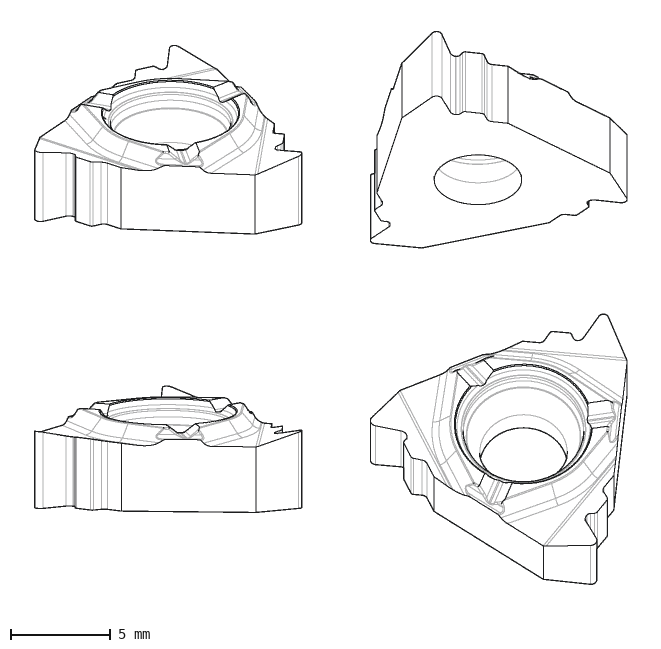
import cadquery as cq
import math

ARM_COUNT = 3
ARM_ANGLE = 360 / ARM_COUNT
HEIGHT = 4.2
SIDE_LEAN = 60.0
SIDE_DISTANCE = 4.77
REACH = 9.39

FLANK_ANGLE = 30.0
HEEL_Y = -4.65
TOOTH_X = -3.38
TOOTH_APEX_Y = -7.2
TIP_RADIUS = 0.3
ROOT_Y = -5.46
ROOT_RADIUS = 0.35
ROOT_END_X = -2.02
ROOT_END_RADIUS = 0.21
CREST_Y = -5.8
CREST_END_X = -0.8
CREST_RADIUS = 0.16
SHOULDER_Y = -5.19
SHOULDER_RADIUS = 0.31

FLOOR_Z = 3.37
RAKE_ANGLE = 15.0
VALLEY_DISTANCE = 4.72
VALLEY_RADIUS = 0.54

RIM_RADIUS = 3.69
RIM_EDGE_RADIUS = 0.08
WALL_ANGLE = 50.0
COVE_RADIUS = 0.45
RIM_ARC_START = -2.0
RIM_ARC_END = 30.0
CORNER_ANGLE = 315.0

STEP_FOOT_DISTANCE = 4.45
STEP_Z = 3.7
STEP_WALL_ANGLE = 70.0
STEP_COVE_RADIUS = 0.27
STEP_END_RADIUS = 0.11

NOTCH_Z = 3.73
NOTCH_FLOOR_WIDTH = 0.3
NOTCH_TOP_WIDTH = 1.49
NOTCH_OFFSET = -0.07
NOTCH_COVE_RADIUS = 0.32

HOLE_RADIUS = 2.2
SEAT_FOOT_Z = 2.25
SEAT_RADIUS = 2.23
SEAT_ANGLE = 45.0
COLLAR_RADIUS = 3.03
COLLAR_COVE_RADIUS = 0.51
LIP_RADIUS = 0.08
LEDGE_Z = 3.7
LEDGE_RADIUS = 3.3
LEDGE_COVE_RADIUS = 0.21
MOUTH_RADIUS = 3.47
MOUTH_BEVEL = 0.05


def sin(degrees):
    return math.sin(math.radians(degrees))


def cos(degrees):
    return math.cos(math.radians(degrees))


def tan(degrees):
    return math.tan(math.radians(degrees))


def turn_point(point, degrees):
    x, y = point
    return (x * cos(degrees) - y * sin(degrees), x * sin(degrees) + y * cos(degrees))


def turned(solid, degrees):
    return solid.rotate((0, 0, 0), (0, 0, 1), degrees)


def around_axis(solid):
    """Union of the copies of a solid on every arm."""
    copies = solid
    for arm in range(1, ARM_COUNT):
        copies = copies.union(turned(solid, arm * ARM_ANGLE))
    return copies


def rounded_loop(corners, plane="XY"):
    """Closed outline through (point, radius) corners, with a tangent arc at each non-zero radius."""
    points = [cq.Vector(*point) for point, _ in corners]
    stretches = []
    for index, (_, radius) in enumerate(corners):
        corner = points[index]
        back = (points[index - 1] - corner).normalized()
        ahead = (points[(index + 1) % len(points)] - corner).normalized()
        half_angle = back.getAngle(ahead) / 2
        setback = radius / math.tan(half_angle)
        bisector = (back + ahead).normalized()
        middle = corner + bisector * (radius / math.sin(half_angle) - radius)
        stretches.append((corner + back * setback, middle, corner + ahead * setback, radius))
    outline = cq.Workplane(plane).moveTo(*stretches[0][2].toTuple()[:2])
    for start, middle, end, radius in stretches[1:] + stretches[:1]:
        outline = outline.lineTo(*start.toTuple()[:2])
        if radius:
            outline = outline.threePointArc(middle.toTuple()[:2], end.toTuple()[:2])
    return outline.wire()


def arm_corners():
    flank = tan(FLANK_ANGLE)
    shoulder_end_x = (SIDE_DISTANCE + SHOULDER_Y * sin(SIDE_LEAN)) / cos(SIDE_LEAN)
    return [
        ((-SIDE_DISTANCE, HEEL_Y), 0),
        ((TOOTH_X, TOOTH_APEX_Y), TIP_RADIUS),
        ((TOOTH_X + (ROOT_Y - TOOTH_APEX_Y) * flank, ROOT_Y), ROOT_RADIUS),
        ((ROOT_END_X, ROOT_Y), ROOT_END_RADIUS),
        ((ROOT_END_X + (ROOT_Y - CREST_Y) * flank, CREST_Y), CREST_RADIUS),
        ((CREST_END_X, CREST_Y), CREST_RADIUS),
        ((CREST_END_X + (SHOULDER_Y - CREST_Y) * flank, SHOULDER_Y), SHOULDER_RADIUS),
        ((shoulder_end_x, SHOULDER_Y), 0),
    ]


def outline_prism():
    corners = []
    for arm in range(ARM_COUNT):
        corners += [(turn_point(point, arm * ARM_ANGLE), radius) for point, radius in arm_corners()]
    return rounded_loop(corners).extrude(HEIGHT)


def rake_wedge():
    """Slab under the rising rake face of the -Y arm, with a rounded valley at the floor."""
    outer_z = FLOOR_Z + (REACH - VALLEY_DISTANCE) * tan(RAKE_ANGLE)
    corners = [
        ((0, 0), 0),
        ((-REACH, 0), 0),
        ((-REACH, outer_z), 0),
        ((-VALLEY_DISTANCE, FLOOR_Z), VALLEY_RADIUS),
        ((0, FLOOR_Z), 0),
    ]
    return rounded_loop(corners, "YZ").extrude(REACH, both=True)


def rim_section():
    """Half section of the chip-former: top, sloping wall, cove and floor."""
    wall_foot = RIM_RADIUS + (HEIGHT - FLOOR_Z) / tan(WALL_ANGLE)
    skirt_end = wall_foot + COVE_RADIUS
    corners = [
        ((0, 0), 0),
        ((skirt_end, 0), 0),
        ((skirt_end, FLOOR_Z), 0),
        ((wall_foot, FLOOR_Z), COVE_RADIUS),
        ((RIM_RADIUS, HEIGHT), RIM_EDGE_RADIUS),
        ((0, HEIGHT), 0),
    ]
    return rounded_loop(corners, "XZ")


def chip_former():
    """Round stretches of rim, joined by straight stretches that meet at pointed corners."""
    round_stretch = rim_section().revolve(RIM_ARC_END - RIM_ARC_START, (0, 0), (0, 1))
    after_arc = turned(rim_section().extrude(-REACH), RIM_ARC_END)
    before_next_arc = turned(rim_section().extrude(REACH), RIM_ARC_START + ARM_ANGLE)
    pointed_corner = after_arc.intersect(before_next_arc)
    return around_axis(turned(round_stretch, RIM_ARC_START).union(pointed_corner))


def side_step():
    """Coved step along the long side that faces -X."""
    wall_top = STEP_FOOT_DISTANCE - (HEIGHT - STEP_Z) / tan(STEP_WALL_ANGLE)
    corners = [
        ((-REACH, STEP_Z), 0),
        ((-STEP_FOOT_DISTANCE, STEP_Z), STEP_COVE_RADIUS),
        ((-wall_top, HEIGHT), 0),
        ((-REACH, HEIGHT), 0),
    ]
    return rounded_loop(corners, "XZ").extrude(SIDE_DISTANCE / 2, both=True)


def notch():
    """Channel with sloping sides and a rounded bottom, along the direction of a rim corner."""
    half_floor = NOTCH_FLOOR_WIDTH / 2
    half_top = NOTCH_TOP_WIDTH / 2
    corners = [
        ((NOTCH_OFFSET - half_top, HEIGHT), 0),
        ((NOTCH_OFFSET - half_floor, NOTCH_Z), NOTCH_COVE_RADIUS),
        ((NOTCH_OFFSET + half_floor, NOTCH_Z), NOTCH_COVE_RADIUS),
        ((NOTCH_OFFSET + half_top, HEIGHT), 0),
    ]
    return turned(rounded_loop(corners, "YZ").extrude(REACH), CORNER_ANGLE)


def screw_hole():
    """Bore, curved screw seat, short collar, and a ledge under the flared mouth."""
    seat_top_z = SEAT_FOOT_Z + (COLLAR_RADIUS - HOLE_RADIUS) / tan(SEAT_ANGLE)
    corners = [
        ((0, 0), 0),
        ((HOLE_RADIUS, 0), 0),
        ((HOLE_RADIUS, SEAT_FOOT_Z), SEAT_RADIUS),
        ((COLLAR_RADIUS, seat_top_z), COLLAR_COVE_RADIUS),
        ((COLLAR_RADIUS, LEDGE_Z), LIP_RADIUS),
        ((LEDGE_RADIUS, LEDGE_Z), LEDGE_COVE_RADIUS),
        ((MOUTH_RADIUS - MOUTH_BEVEL, HEIGHT - MOUTH_BEVEL), 0),
        ((MOUTH_RADIUS, HEIGHT), 0),
        ((0, HEIGHT), 0),
    ]
    return rounded_loop(corners, "XZ").revolve(360, (0, 0), (0, 1))


def step_end_edges(body):
    """Sloping side edges of the step walls, where they meet the rim walls and the notch sides."""
    walls = [
        face for face in body.faces("%PLANE").vals()
        if math.isclose(face.normalAt().z, cos(STEP_WALL_ANGLE), abs_tol=0.001)
    ]
    return [edge for wall in walls for edge in wall.Edges() if edge.BoundingBox().zlen > STEP_END_RADIUS]


upper_form = around_axis(rake_wedge()).union(chip_former())
body = (
    outline_prism()
    .intersect(upper_form)
    .cut(around_axis(side_step()))
    .cut(around_axis(notch()))
    .cut(screw_hole())
)
result = body.newObject(step_end_edges(body)).fillet(STEP_END_RADIUS)